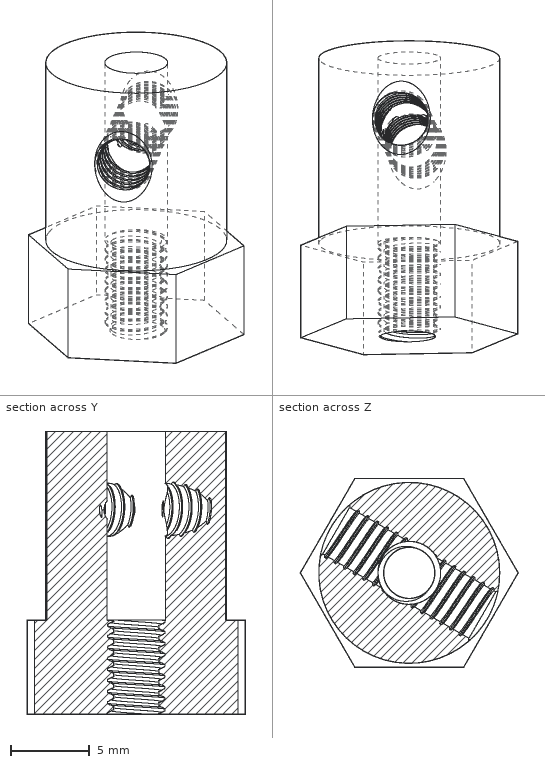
import cadquery as cq
import math

total_height = 18.0
hex_height = total_height / 3
hex_across_flats = 12.0
hex_across_corners = hex_across_flats / math.cos(math.radians(30))
barrel_radius = 5.76

bore_radius = 2.0
lower_bore_radius = 1.62

screw_axis_angle = -30.0
screw_height = 2 * total_height / 3 + 1.0
screw_radius = 1.7
countersink_radius = 2.38
countersink_angle = 60.0
cut_clearance = 0.18

thread_pitch = 0.7
screw_groove_depth = 0.15
groove_inset = 0.02
bore_groove_depth = bore_radius - lower_bore_radius - groove_inset
screw_groove_mouth = 0.29
bore_groove_mouth = 0.54
groove_root = 0.09
thread_start = 0.72
groove_overlap = 0.05


def make_body():
    base = cq.Workplane("XY").polygon(6, hex_across_corners).extrude(hex_height)
    barrel = cq.Workplane("XY").circle(barrel_radius).extrude(total_height)
    return base.union(barrel)


def make_cylinder(radius, bottom, top):
    return cq.Workplane("XY").workplane(offset=bottom).circle(radius).extrude(top - bottom)


def make_screw_hole():
    """Countersunk hole running outward along +Z from the origin."""
    slope = math.tan(math.radians(countersink_angle))
    cone_start = barrel_radius - (countersink_radius - screw_radius) / slope
    outer_end = barrel_radius + cut_clearance
    profile = [
        (0, 0),
        (screw_radius, 0),
        (screw_radius, cone_start),
        (countersink_radius + cut_clearance * slope, outer_end),
        (0, outer_end),
    ]
    return cq.Workplane("XZ").polyline(profile).close().revolve(360, (0, 0), (0, 1))


def make_thread_groove(hole_radius, depth, mouth, start, end):
    """Right-hand flat-bottomed groove running along +Z around a hole of the given radius."""
    inner_radius = hole_radius - groove_overlap
    root_radius = hole_radius + depth
    helix = cq.Wire.makeHelix(thread_pitch, end - start, inner_radius)
    profile = [
        (inner_radius, -mouth / 2),
        (root_radius, -groove_root / 2),
        (root_radius, groove_root / 2),
        (inner_radius, mouth / 2),
    ]
    groove = cq.Workplane("XZ").polyline(profile).close().sweep(cq.Workplane(obj=helix), isFrenet=True)
    return groove.translate((0, 0, start))


def place_screw_cut(cut, axis_angle):
    along_x = cut.rotate((0, 0, 0), (0, 1, 0), 90)
    return along_x.rotate((0, 0, 0), (0, 0, 1), axis_angle).translate((0, 0, screw_height))


def make_screw_thread():
    return make_thread_groove(
        screw_radius, screw_groove_depth, screw_groove_mouth, thread_start, barrel_radius
    )


def make_bore_thread():
    """Groove running out through both ends of the lower bore."""
    bottom = -thread_pitch
    top = hex_height + thread_pitch / 2
    return make_thread_groove(
        lower_bore_radius, bore_groove_depth, bore_groove_mouth, bottom, top
    )


result = make_body()

result = result.cut(make_bore_thread())
result = result.cut(make_cylinder(bore_radius, hex_height, total_height))
result = result.cut(make_cylinder(lower_bore_radius, 0, total_height))

for turn in (0, 180):
    for screw_cut in (make_screw_thread(), make_screw_hole()):
        result = result.cut(place_screw_cut(screw_cut, screw_axis_angle + turn))